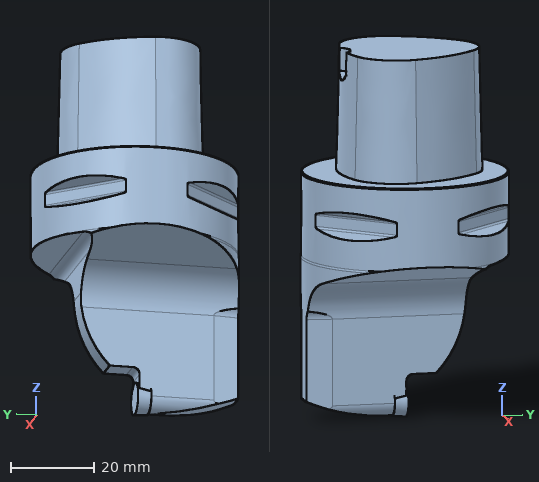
import cadquery as cq
import math


FLANGE_RADIUS = 25.0
FLANGE_CHAMFER = 0.3
BLANK_RADIUS = 25.1
STEP_TOP_Z = -20.3
STEP_BOTTOM_Z = -20.9

SHANK_HEIGHT = 30.0
LOBE_REACH = 18.8
FLANK_REACH = 16.2
LOBE_CENTER_DISTANCE = 7.2
SHANK_TAPER = 1 / 20
SHANK_INSET = SHANK_HEIGHT * SHANK_TAPER / 2
LOBE_COUNT = 3

KEYWAY_RADIUS = 4.2
KEYWAY_AXIS_Y = -17.7
KEYWAY_DEPTH = 5.6
KEYWAY_TIP_HEIGHT = 3.5

SLOT_COUNT = 4
SLOT_FIRST_ANGLE = 45
SLOT_Z = -10.0
SLOT_FLOOR_HEIGHT = 3.4
SLOT_FLOOR_DISTANCE = 22.2
SLOT_WALL_ANGLE = 30
SLOT_FILLET = 0.6

BLADE_HALF_WIDTH = 3.5
SHOULDER_EDGE_Z = -19.35
ROOT_FILLET = 10.7
ROOT_FILLET_BOTTOM_Z = -34.9
SHOULDER_ANGLE = 21

UNDERSIDE_EDGE_Z = -20.1
UNDERSIDE_ANGLE = 4
BACK_Y = 14.1
BACK_FILLET = 3.0
BACK_ARC_RADIUS = 25.2
BACK_ARC_TOP_Z = -31.5
NOTCH_Z = -49.1
NOTCH_Y = -0.45
NOTCH_FILLET = 1.7
LOWER_EDGE_START_Z = -59.6
LOWER_EDGE_MIDDLE = (-13.1, -58.6)
LOWER_EDGE_END_Z = -55.0

RELIEF_START_Y = -18.7
RELIEF_DEPTH = 0.7
RELIEF_FILLET = 3.1

INSERT_Z = -56.1
INSERT_FACE_RADIUS = 4.0
INSERT_BACK_RADIUS = 3.7
INSERT_THICKNESS = 3.3

CLEAR = 90


def polar(radius, degrees):
    angle = math.radians(degrees)
    return cq.Vector(radius * math.cos(angle), radius * math.sin(angle))


def shank_outline(inset, z):
    """Closed wire of tangent lobe and flank arcs, moved inwards by the inset."""
    lobe_radius = LOBE_REACH - LOBE_CENTER_DISTANCE - inset
    difference = LOBE_REACH - FLANK_REACH
    flank_center_distance = (
        difference * (2 * LOBE_CENTER_DISTANCE - difference)
        / (LOBE_CENTER_DISTANCE - 2 * difference)
    )
    pitch = 360 / LOBE_COUNT

    lobe_center = polar(LOBE_CENTER_DISTANCE, 90)
    flank_center = polar(flank_center_distance, 270 - pitch / 2)
    seam = lobe_center + (lobe_center - flank_center).normalized() * lobe_radius
    seam_distance = seam.Length
    half_lobe_angle = math.degrees(math.atan2(seam.x, seam.y))

    def point(radius, degrees):
        return polar(radius, degrees).toTuple()[:2]

    outline = (
        cq.Workplane("XY", origin=(0, 0, z))
        .moveTo(*point(seam_distance, 90 - half_lobe_angle))
    )
    for index in range(LOBE_COUNT):
        lobe_angle = 90 + index * pitch
        outline = outline.threePointArc(
            point(LOBE_REACH - inset, lobe_angle),
            point(seam_distance, lobe_angle + half_lobe_angle),
        ).threePointArc(
            point(FLANK_REACH - inset, lobe_angle + pitch / 2),
            point(seam_distance, lobe_angle + pitch - half_lobe_angle),
        )
    return outline.wire().val()


def make_shank():
    base = shank_outline(0, 0)
    top = shank_outline(SHANK_INSET, SHANK_HEIGHT)
    return cq.Workplane(cq.Solid.makeLoft([base, top], True))


def keyway_cutter():
    """Drill shape: a vertical cylinder with a conical tip."""
    return (
        cq.Workplane("XZ", origin=(0, KEYWAY_AXIS_Y, SHANK_HEIGHT - KEYWAY_DEPTH))
        .moveTo(0, -KEYWAY_TIP_HEIGHT)
        .lineTo(KEYWAY_RADIUS, 0)
        .lineTo(KEYWAY_RADIUS, KEYWAY_DEPTH)
        .lineTo(0, KEYWAY_DEPTH)
        .close()
        .revolve()
    )


def make_blank():
    """Turned flange with the slightly larger cylinder that the blade is cut from."""
    return (
        cq.Workplane("XZ")
        .lineTo(FLANGE_RADIUS - FLANGE_CHAMFER, 0)
        .lineTo(FLANGE_RADIUS, -FLANGE_CHAMFER)
        .lineTo(FLANGE_RADIUS, STEP_TOP_Z)
        .lineTo(BLANK_RADIUS, STEP_BOTTOM_Z)
        .lineTo(BLANK_RADIUS, -CLEAR)
        .lineTo(0, -CLEAR)
        .close()
        .revolve()
    )


def width_envelope():
    """Profile in XZ: sloped shoulders, root fillets, straight blade and round lower edge."""
    slope = math.radians(SHOULDER_ANGLE)
    fillet_center_x = BLADE_HALF_WIDTH + ROOT_FILLET
    fillet_top_x = fillet_center_x - ROOT_FILLET * math.sin(slope)
    fillet_top_z = ROOT_FILLET_BOTTOM_Z + ROOT_FILLET * math.cos(slope)
    half_turn = (math.pi / 2 - slope) / 2
    fillet_middle_x = fillet_center_x - ROOT_FILLET * math.cos(half_turn)
    fillet_middle_z = ROOT_FILLET_BOTTOM_Z + ROOT_FILLET * math.sin(half_turn)
    return (
        cq.Workplane("XZ")
        .moveTo(-CLEAR, 0)
        .lineTo(-CLEAR, SHOULDER_EDGE_Z)
        .lineTo(-FLANGE_RADIUS, SHOULDER_EDGE_Z)
        .lineTo(-fillet_top_x, fillet_top_z)
        .threePointArc((-fillet_middle_x, fillet_middle_z), (-BLADE_HALF_WIDTH, ROOT_FILLET_BOTTOM_Z))
        .lineTo(-BLADE_HALF_WIDTH, INSERT_Z)
        .threePointArc((0, INSERT_Z - BLADE_HALF_WIDTH), (BLADE_HALF_WIDTH, INSERT_Z))
        .lineTo(BLADE_HALF_WIDTH, ROOT_FILLET_BOTTOM_Z)
        .threePointArc((fillet_middle_x, fillet_middle_z), (fillet_top_x, fillet_top_z))
        .lineTo(FLANGE_RADIUS, SHOULDER_EDGE_Z)
        .lineTo(CLEAR, SHOULDER_EDGE_Z)
        .lineTo(CLEAR, 0)
        .close()
        .extrude(CLEAR, both=True)
    )


def side_envelope():
    """Profile in YZ: sloped underside, curved back, insert notch and arched lower edge."""
    underside_slope = math.tan(math.radians(UNDERSIDE_ANGLE))
    underside_inner_z = UNDERSIDE_EDGE_Z - (FLANGE_RADIUS - BACK_Y) * underside_slope
    back_arc_center_y = BACK_Y - BACK_ARC_RADIUS
    arc_end_angle = math.asin((BACK_ARC_TOP_Z - NOTCH_Z) / BACK_ARC_RADIUS)
    arc_middle = (
        back_arc_center_y + BACK_ARC_RADIUS * math.cos(arc_end_angle / 2),
        BACK_ARC_TOP_Z - BACK_ARC_RADIUS * math.sin(arc_end_angle / 2),
    )
    arc_end = (back_arc_center_y + BACK_ARC_RADIUS * math.cos(arc_end_angle), NOTCH_Z)
    envelope = (
        cq.Workplane("YZ")
        .moveTo(BLANK_RADIUS, 0)
        .lineTo(BLANK_RADIUS, UNDERSIDE_EDGE_Z)
        .lineTo(BACK_Y, underside_inner_z)
        .lineTo(BACK_Y, BACK_ARC_TOP_Z)
        .threePointArc(arc_middle, arc_end)
        .lineTo(NOTCH_Y, NOTCH_Z)
        .lineTo(NOTCH_Y, LOWER_EDGE_START_Z)
        .threePointArc(LOWER_EDGE_MIDDLE, (-BLANK_RADIUS, LOWER_EDGE_END_Z))
        .lineTo(-BLANK_RADIUS, 0)
        .close()
        .extrude(CLEAR, both=True)
    )

    def corner(y, z):
        return cq.selectors.NearestToPointSelector((0, y, z))

    return (
        envelope
        .edges("|X").edges(corner(BACK_Y, underside_inner_z)).fillet(BACK_FILLET)
        .edges("|X").edges(corner(NOTCH_Y, NOTCH_Z)).fillet(NOTCH_FILLET)
    )


def relief_cutter():
    """Tapered side cut on the +X face of the blade, with a round top."""
    taper = math.degrees(math.atan2(RELIEF_DEPTH, BLANK_RADIUS + RELIEF_START_Y))
    pivot = cq.Vector(BLADE_HALF_WIDTH, RELIEF_START_Y, 0)
    return (
        cq.Workplane("XZ", origin=pivot)
        .moveTo(0, -CLEAR)
        .lineTo(0, ROOT_FILLET_BOTTOM_Z)
        .radiusArc((RELIEF_FILLET, ROOT_FILLET_BOTTOM_Z + RELIEF_FILLET), RELIEF_FILLET)
        .lineTo(RELIEF_FILLET, -CLEAR)
        .close()
        .extrude(CLEAR)
        .rotate(pivot, pivot + cq.Vector(0, 0, 0.9), -taper)
    )


def slot_cutter(angle):
    """Flared slot with a flat floor, crossing the rim of the flange at the given angle."""
    depth = FLANGE_RADIUS - SLOT_FLOOR_DISTANCE
    half_floor = SLOT_FLOOR_HEIGHT / 2
    half_mouth = half_floor + depth * math.tan(math.radians(SLOT_WALL_ANGLE))
    return (
        cq.Workplane("XZ", origin=(0, 0, SLOT_Z))
        .moveTo(SLOT_FLOOR_DISTANCE, -half_floor)
        .lineTo(FLANGE_RADIUS, -half_mouth)
        .lineTo(FLANGE_RADIUS, half_mouth)
        .lineTo(SLOT_FLOOR_DISTANCE, half_floor)
        .close()
        .extrude(FLANGE_RADIUS, both=True)
        .edges("|Y and <X")
        .fillet(SLOT_FILLET)
        .rotate((0, 0, 0), (0, 0, 1), angle)
    )


def make_insert():
    """Round insert facing +Y, tapering towards its back face."""
    return cq.Workplane(cq.Solid.makeCone(
        INSERT_FACE_RADIUS, INSERT_BACK_RADIUS, INSERT_THICKNESS,
        pnt=cq.Vector(0, 0, INSERT_Z), dir=cq.Vector(0, -1, 0),
    ))


def make_holder(insert):
    holder = make_blank().intersect(width_envelope()).intersect(side_envelope())
    relief = relief_cutter()
    holder = holder.cut(relief).cut(relief.mirror("YZ"))
    for index in range(SLOT_COUNT):
        holder = holder.cut(slot_cutter(SLOT_FIRST_ANGLE + index * 360 / SLOT_COUNT))
    holder = holder.union(make_shank()).cut(keyway_cutter())
    return holder.cut(insert)


insert = make_insert()
holder = make_holder(insert)
result = cq.Compound.makeCompound([holder.val(), insert.val()])